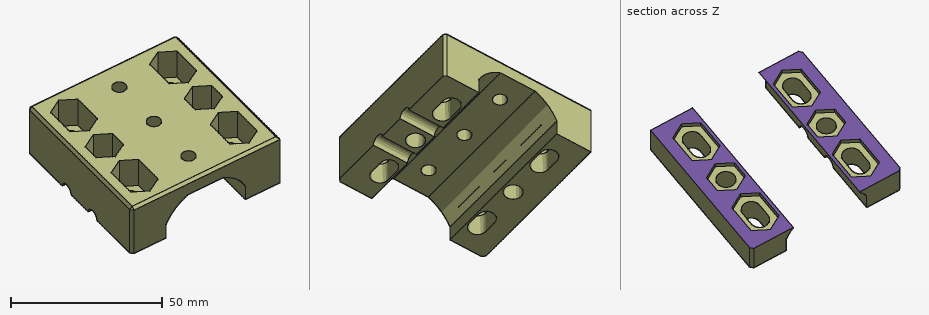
import cadquery as cq
import math

side = 60.0
height = 21.0
edge_chamfer = 1.0

channel_width = 32.0
channel_height = 15.0
arch_radius = 17.5
arch_center_z = -1.0

row_y = side / 3
bolt_diameter = 6.6
slot_travel = 5.0
slot_x = 17.5
nut_across_flats = 11.0
nut_pocket_depth = 12.0

small_diameter = 5.0
small_hole_pitch = side / 3
groove_x = 7.5


def make_block():
    block = cq.Workplane("XY").box(side, side, height, centered=(True, True, False))
    return block.edges("(|Z and (<X or <Y)) or >Z").chamfer(edge_chamfer)


def make_channel():
    """Vertical walls and a flat roof joined by arcs of one circle."""
    opening = cq.Workplane("YZ").rect(channel_width, 2 * channel_height).extrude(side / 2, both=True)
    tunnel = (
        cq.Workplane("YZ")
        .center(0, arch_center_z)
        .circle(arch_radius)
        .extrude(side / 2, both=True)
    )
    return opening.intersect(tunnel)


def make_fastener_cut(x, y, travel):
    """Through hole and hexagonal nut pocket, both stretched along X by the travel."""
    half_flats = nut_across_flats / 2
    half_sector = math.pi / 6
    half_side = half_flats * math.tan(half_sector) + travel / 2
    half_corners = half_flats / math.cos(half_sector) + travel / 2
    pocket = (
        cq.Workplane("XY", origin=(x, y, height - nut_pocket_depth))
        .polyline([
            (half_corners, 0),
            (half_side, half_flats),
            (-half_side, half_flats),
            (-half_corners, 0),
            (-half_side, -half_flats),
            (half_side, -half_flats),
        ])
        .close()
        .extrude(nut_pocket_depth)
    )
    hole_plane = cq.Workplane("XY", origin=(x, y, 0))
    if travel > 0:
        hole = hole_plane.slot2D(bolt_diameter + travel, bolt_diameter).extrude(height)
    else:
        hole = hole_plane.circle(bolt_diameter / 2).extrude(height)
    return pocket.union(hole)


def make_small_holes():
    return (
        cq.Workplane("XY")
        .pushPoints([(-small_hole_pitch, 0), (0, 0), (small_hole_pitch, 0)])
        .circle(small_diameter / 2)
        .extrude(height)
    )


def make_grooves():
    """Grooves across the -Y leg only, opening into the channel."""
    leg_width = (side - channel_width) / 2
    return (
        cq.Workplane("XZ", origin=(0, -channel_width / 2, 0))
        .pushPoints([(-groove_x, 0), (groove_x, 0)])
        .circle(small_diameter / 2)
        .extrude(leg_width)
    )


result = make_block().cut(make_channel()).cut(make_small_holes()).cut(make_grooves())
for y in (-row_y, row_y):
    for x, travel in ((-slot_x, slot_travel), (0, 0), (slot_x, slot_travel)):
        result = result.cut(make_fastener_cut(x, y, travel))